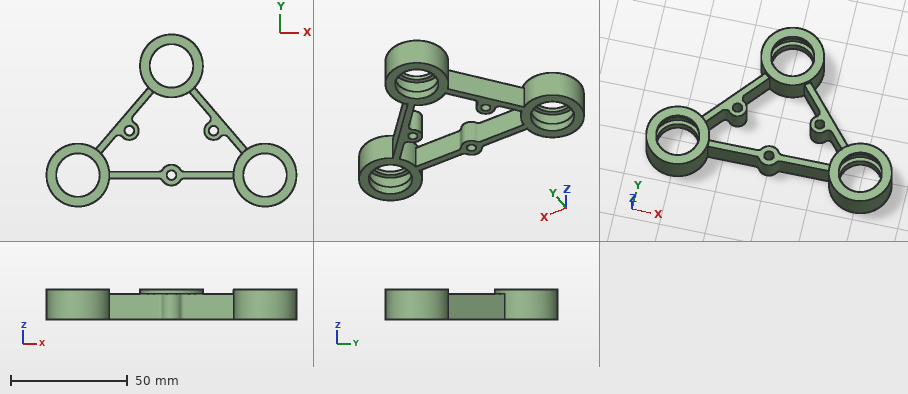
import cadquery as cq
import math

housing_diameter = 27.0
housing_height = 13.0
lip_bore_diameter = 18.5
bearing_diameter = 22.2
bearing_bottom = 4.0
bearing_width = 7.0
bearing_top = bearing_bottom + bearing_width

base_length = 80.0
apex_distance = 46.7
left_centre = (-base_length / 2, 0.0)
right_centre = (base_length / 2, 0.0)
apex_centre = (0.0, apex_distance)
housing_centres = [left_centre, right_centre, apex_centre]

arm_width = 3.0
arm_height = bearing_top
base_boss_diameter = 9.0
side_boss_diameter = 8.0
screw_hole_diameter = 4.0
base_boss_centre = (0.0, 0.0)
side_boss_x = 18.0
side_boss_y = 19.0
side_boss_centres = [(-side_boss_x, side_boss_y), (side_boss_x, side_boss_y)]
boss_centres = [base_boss_centre] + side_boss_centres

blend_radius = 2.0


def cylinder(centres, diameter, bottom, top):
    """Upright cylinders of one diameter at every centre."""
    return (
        cq.Workplane("XY", origin=(0, 0, bottom))
        .pushPoints(centres)
        .circle(diameter / 2)
        .extrude(top - bottom)
    )


def make_arm(start, end):
    """Straight upright web between two housing centres."""
    dx = end[0] - start[0]
    dy = end[1] - start[1]
    middle = ((start[0] + end[0]) / 2, (start[1] + end[1]) / 2, 0)
    return (
        cq.Workplane("XY")
        .rect(math.hypot(dx, dy), arm_width)
        .extrude(arm_height)
        .rotate((0, 0, 0), (0, 0, 1), math.degrees(math.atan2(dy, dx)))
        .translate(middle)
    )


def make_arm_with_boss(start, end, boss_centre, boss_diameter):
    """Arm joined to its boss, with the inside corners between them rounded."""
    arm = make_arm(start, end)
    boss = cylinder([boss_centre], boss_diameter, 0, arm_height)
    corner_box = cq.selectors.BoxSelector(
        (boss_centre[0] - boss_diameter, boss_centre[1] - boss_diameter, 0),
        (boss_centre[0] + boss_diameter, boss_centre[1] + boss_diameter, arm_height),
    )
    return arm.union(boss).edges("|Z").edges(corner_box).fillet(blend_radius)


def make_frame():
    """Three arms with their bosses."""
    frame = make_arm_with_boss(left_centre, right_centre, base_boss_centre, base_boss_diameter)
    for corner, boss_centre in zip([left_centre, right_centre], side_boss_centres):
        frame = frame.union(make_arm_with_boss(corner, apex_centre, boss_centre, side_boss_diameter))
    return frame


housings = cylinder(housing_centres, housing_diameter, 0, housing_height)
through_bores = cylinder(housing_centres, lip_bore_diameter, 0, housing_height)
bearing_seats = cylinder(housing_centres, bearing_diameter, bearing_bottom, bearing_top)
screw_holes = cylinder(boss_centres, screw_hole_diameter, 0, arm_height)

result = (
    make_frame()
    .union(housings)
    .cut(through_bores)
    .cut(bearing_seats)
    .cut(screw_holes)
)